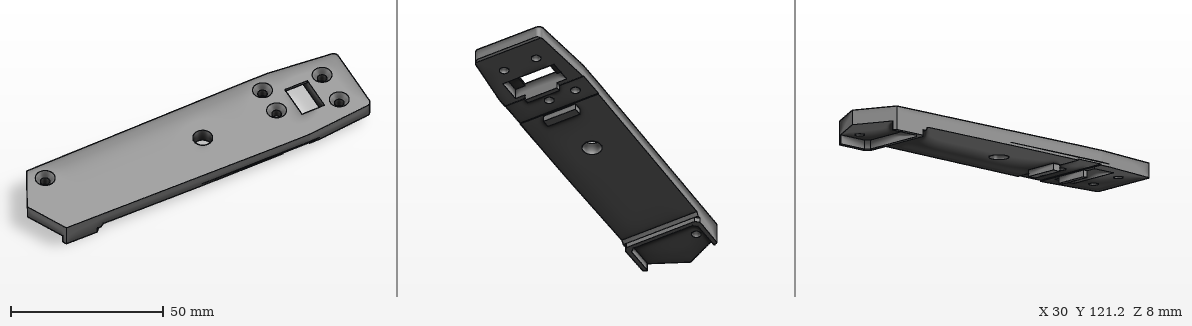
import cadquery as cq

length = 121.2
width = 30.0
thickness = 5.0
total_height = 8.0
head_width = 25.2
head_corner = 1.8
head_bevel = 0.6
shoulder_top_y = 36.5
shoulder_bottom_y = 26.5
tail_width = 28.1
tail_y = -53.6
head_y = length / 2
tip_y = -length / 2

screw_diameter = 3.2
sink_diameter = 6.5
sink_angle = 90
screw_points = [(-6.0, 52.0), (6.0, 52.0), (-9.2, 31.5), (0.7, 31.5), (-8.5, -49.6)]
center_hole_diameter = 6.5
center_hole_y = 4.5
window_width = 12.1
window_top_y = 46.5
window_bottom_y = 38.2
pocket_width = 19.4
pocket_roof = 1.0

seat_depth = 0.4
rabbet_width = 0.4
rabbet_height = 1.0
rib_bottom = 7.3
rib_spans = [(36.6, window_bottom_y), (23.1, 26.0)]
skirt_start_y = -40.8
skirt_end_y = -54.2
skirt_wall = 1.5
skirt_corner = 1.3
gusset_length = 1.0
gusset_drop = 1.2


def block(x_size, y_low, y_high, z_low, z_high):
    """Box centred on X = 0 between the given Y and Z limits."""
    return (
        cq.Workplane("XY")
        .box(x_size, y_high - y_low, z_high - z_low, centered=(True, False, False))
        .translate((0, y_low, z_low))
    )


def outline_prism(height):
    """Plan outline of the plate extruded down from the top face."""
    right_side = [
        (head_width / 2, head_y),
        (width / 2, shoulder_top_y),
        (width / 2, shoulder_bottom_y),
        (tail_width / 2, tail_y),
    ]
    left_side = [(-x, y) for x, y in reversed(right_side)]
    prism = cq.Workplane("XY").polyline(right_side + [(0, tip_y)] + left_side).close().extrude(-height)
    return prism.edges("|Z").edges(">Y").fillet(head_corner)


def plate():
    """Plate with a bevelled head, a shallow cross seat and a rabbet along the +X edge."""
    body = outline_prism(thickness)
    bevel = (
        cq.Workplane("YZ")
        .polyline([
            (head_y, -thickness),
            (head_y - head_bevel, -thickness),
            (head_y, head_bevel - thickness),
        ])
        .close()
        .extrude(width / 2, both=True)
    )
    seat = block(width, shoulder_bottom_y, shoulder_top_y, -thickness, seat_depth - thickness)
    rabbet = block(rabbet_width, tip_y, head_y, -thickness, rabbet_height - thickness)
    return body.cut(bevel).cut(seat).cut(rabbet.translate(((width - rabbet_width) / 2, 0, 0)))


def skirt():
    """Wall around the tail, open towards the tip, with a sloped gusset on its +Y side."""
    outer = block(width, skirt_end_y, skirt_start_y, -total_height, 0)
    outer = outer.intersect(outline_prism(total_height))
    outer = outer.edges("|Z").edges(">Y").chamfer(skirt_corner)
    cavity = block(
        tail_width - 2 * skirt_wall, tip_y, skirt_start_y - skirt_wall, -total_height, -thickness
    )
    cavity = cavity.edges("|Z").edges(">Y").chamfer(skirt_corner)
    gusset_root_y = skirt_start_y - skirt_corner
    gusset_bottom = -thickness - gusset_drop
    gusset = (
        cq.Workplane("YZ")
        .polyline([
            (gusset_root_y, -thickness),
            (skirt_start_y + gusset_length, -thickness),
            (skirt_start_y, gusset_bottom),
            (gusset_root_y, gusset_bottom),
        ])
        .close()
        .extrude(width / 2, both=True)
        .intersect(outline_prism(total_height))
    )
    return outer.union(gusset).cut(cavity)


def ribs():
    """Cross ribs hanging below the plate, as wide as the window."""
    group = cq.Workplane("XY")
    for y_low, y_high in rib_spans:
        group = group.add(block(window_width, y_low, y_high, -rib_bottom, -thickness / 2))
    return group.combine()


result = plate().union(skirt()).union(ribs())

result = result.cut(block(window_width, window_bottom_y, window_top_y, -total_height, 0))
result = result.cut(block(pocket_width, window_bottom_y, window_top_y, -total_height, -pocket_roof))
top_plane = cq.Workplane("XY")
center_hole = top_plane.center(0, center_hole_y).circle(center_hole_diameter / 2).extrude(-total_height)
result = result.cut(center_hole)
result = (
    result.faces(">Z")
    .workplane(origin=(0, 0, 0))
    .pushPoints(screw_points)
    .cskHole(screw_diameter, sink_diameter, sink_angle)
)